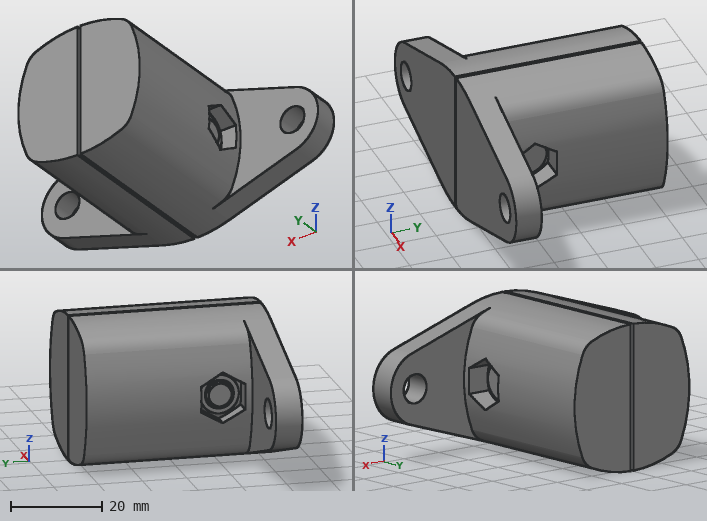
import cadquery as cq
import math

overall_length = 74.8
body_size = 32.9
body_depth = 43.4
half_gap = 0.4
side_radius = 30.0
corner_radius = 5.0

flange_thickness = 6.0
flange_end_radius = 8.4
mount_hole_diameter = 6.5
mount_hole_offset = 30.45

bolt_y = 12.6
bolt_diameter = 6.0
bolt_tip_diameter = 5.15
hex_flats = 9.95
hex_face_diameter = 8.75
pocket_floor = 7.5
nut_height = 5.4
head_height = 4.0
nut_mouth_diameter = 6.5
tip_projection = 0.75
hex_chamfer_angle = 30.0

half_size = body_size / 2
side_center = half_size - side_radius
tangent_distance = side_radius - corner_radius
corner_center = (side_center + math.sqrt(2 * tangent_distance**2 - side_center**2)) / 2
corner_start = corner_center * side_radius / tangent_distance
corner_end = side_center + (corner_center - side_center) * side_radius / tangent_distance
hex_corners = hex_flats / math.cos(math.pi / 6)
nut_face = pocket_floor + nut_height


def front_plane(y):
    """XZ sketch plane at the given Y; extrusion runs toward -Y, so negative lengths go to +Y."""
    return cq.Workplane(cq.Plane(origin=(0, y, 0), xDir=(1, 0, 0), normal=(0, -1, 0)))


def barrel():
    """Square barrel with bulged sides and rounded corners."""
    near = corner_start
    far = corner_end
    outline = (
        front_plane(0)
        .moveTo(-near, far)
        .threePointArc((0, half_size), (near, far))
        .radiusArc((far, near), corner_radius)
        .threePointArc((half_size, 0), (far, -near))
        .radiusArc((near, -far), corner_radius)
        .threePointArc((0, -half_size), (-near, -far))
        .radiusArc((-far, -near), corner_radius)
        .threePointArc((-half_size, 0), (-far, near))
        .radiusArc((-near, far), corner_radius)
        .close()
    )
    return outline.extrude(-body_depth)


def flange():
    """Lozenge plate: bulged middle, straight tangent flanks, round ends."""
    end_center = overall_length / 2 - flange_end_radius
    reach = math.hypot(end_center, side_center)
    tilt = (
        math.asin((side_radius - flange_end_radius) / reach)
        - math.atan2(-side_center, end_center)
    )
    middle_x = side_radius * math.sin(tilt)
    middle_z = side_center + side_radius * math.cos(tilt)
    end_x = end_center + flange_end_radius * math.sin(tilt)
    end_z = flange_end_radius * math.cos(tilt)
    tip = overall_length / 2
    plate = (
        front_plane(0)
        .moveTo(-middle_x, middle_z)
        .threePointArc((0, half_size), (middle_x, middle_z))
        .lineTo(end_x, end_z)
        .threePointArc((tip, 0), (end_x, -end_z))
        .lineTo(middle_x, -middle_z)
        .threePointArc((0, -half_size), (-middle_x, -middle_z))
        .lineTo(-end_x, -end_z)
        .threePointArc((-tip, 0), (-end_x, end_z))
        .close()
        .extrude(-flange_thickness)
    )
    holes = (
        front_plane(0)
        .pushPoints([(-mount_hole_offset, 0), (mount_hole_offset, 0)])
        .circle(mount_hole_diameter / 2)
        .extrude(-flange_thickness)
    )
    return plate.cut(holes)


def bolt_plane(x):
    """YZ sketch plane on the bolt axis; extrusion runs toward +X."""
    return cq.Workplane("YZ", origin=(x, bolt_y, 0))


def hex_prism(x, length):
    """Hexagon with corners toward +Z and -Z."""
    return bolt_plane(x).transformed(rotate=(0, 0, 90)).polygon(6, hex_corners).extrude(length)


def chamfered_hex(x, length):
    """Hexagon from x along X; its far face is chamfered to a circle. Negative length points to -X."""
    direction = math.copysign(1, length)
    corner_drop = (hex_corners - hex_face_diameter) / 2 * math.tan(math.radians(hex_chamfer_angle))
    shoulder = x + length - direction * corner_drop
    envelope = (
        cq.Workplane("XY", origin=(0, bolt_y, 0))
        .moveTo(x, 0)
        .lineTo(x, hex_corners / 2)
        .lineTo(shoulder, hex_corners / 2)
        .lineTo(x + length, hex_face_diameter / 2)
        .lineTo(x + length, 0)
        .close()
        .revolve(360, (0, 0, 0), (1, 0, 0))
    )
    return hex_prism(x, length).intersect(envelope)


def clamp_half(side):
    """Clamp half on the -X (side = -1) or +X (side = 1) side of the slit."""
    keep = cq.Workplane("XY").box(
        overall_length, 2 * body_depth, body_size
    ).translate((side * (half_gap + overall_length / 2), 0, 0))
    bolt_hole = bolt_plane(0).circle(bolt_diameter / 2).extrude(side * half_size)
    pocket = hex_prism(side * pocket_floor, side * half_size)
    return barrel().union(flange()).intersect(keep).cut(bolt_hole).cut(pocket)


def make_bolt():
    """Hex-head bolt: head in the +X pocket, chamfered end beyond the nut."""
    tip_x = -nut_face - tip_projection
    tip_chamfer = (bolt_diameter - bolt_tip_diameter) / 2
    shank = (
        bolt_plane(tip_x)
        .circle(bolt_diameter / 2)
        .extrude(pocket_floor - tip_x)
        .faces("<X")
        .chamfer(tip_chamfer)
    )
    return shank.union(chamfered_hex(pocket_floor, head_height))


def make_nut():
    """Hex nut on the floor of the -X pocket, with a countersunk mouth."""
    bore = bolt_plane(-pocket_floor).circle(bolt_diameter / 2).extrude(-nut_height)
    mouth_chamfer = (nut_mouth_diameter - bolt_diameter) / 2
    nut = chamfered_hex(-pocket_floor, -nut_height).cut(bore)
    return nut.faces("<X").edges(cq.selectors.RadiusNthSelector(0)).chamfer(mouth_chamfer)


clamp_halves = [clamp_half(side) for side in (-1, 1)]
bolt = make_bolt()
nut = make_nut()

result = cq.Compound.makeCompound([*(half.val() for half in clamp_halves), bolt.val(), nut.val()])